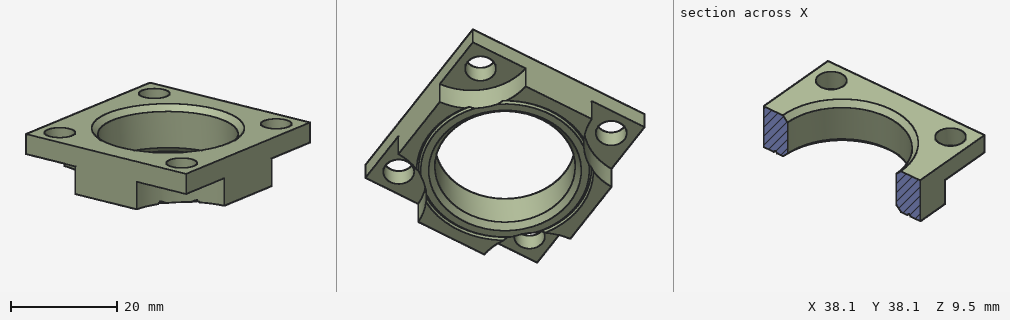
import cadquery as cq

side = 38.1
height = 9.5
flange_thickness = 4.0

bore_diameter = 26.4
flare_size = 1.15

groove_radius = 16.25
groove_width = 0.8
groove_depth = 0.45

bolt_spacing = 29.0
bolt_diameter = 5.8

relief_spacing = 39.6
relief_radius = 12.5
relief_depth = height - flange_thickness


def make_block():
    return cq.Workplane("XY").box(side, side, height, centered=(True, True, False))


def cut_bore(body):
    bore = cq.Workplane("XY").circle(bore_diameter / 2).extrude(height)
    return body.cut(bore)


def flare_bore(body, face):
    """Cut a cone at the "top" or "bottom" end of the bore, widening it towards that face."""
    bore_radius = bore_diameter / 2
    z_face = height if face == "top" else 0
    z_inner = height - flare_size if face == "top" else flare_size
    cone = (
        cq.Workplane("XZ")
        .moveTo(0, z_inner)
        .lineTo(bore_radius, z_inner)
        .lineTo(bore_radius + flare_size, z_face)
        .lineTo(0, z_face)
        .close()
        .revolve(360, (0, 0, 0), (0, 1, 0))
    )
    return body.cut(cone)


def cut_ring_groove(body):
    groove = (
        cq.Workplane("XZ")
        .moveTo(groove_radius - groove_width / 2, 0)
        .lineTo(groove_radius, groove_depth)
        .lineTo(groove_radius + groove_width / 2, 0)
        .close()
        .revolve(360, (0, 0, 0), (0, 1, 0))
    )
    return body.cut(groove)


def cut_bolt_holes(body):
    holes = (
        cq.Workplane("XY")
        .rect(bolt_spacing, bolt_spacing, forConstruction=True)
        .vertices()
        .circle(bolt_diameter / 2)
        .extrude(height)
    )
    return body.cut(holes)


def cut_corner_reliefs(body):
    reliefs = (
        cq.Workplane("XY")
        .rect(relief_spacing, relief_spacing, forConstruction=True)
        .vertices()
        .circle(relief_radius)
        .extrude(relief_depth)
    )
    return body.cut(reliefs)


result = make_block()
result = cut_bore(result)
result = flare_bore(result, "top")
result = flare_bore(result, "bottom")
result = cut_bolt_holes(result)
result = cut_corner_reliefs(result)
result = cut_ring_groove(result)